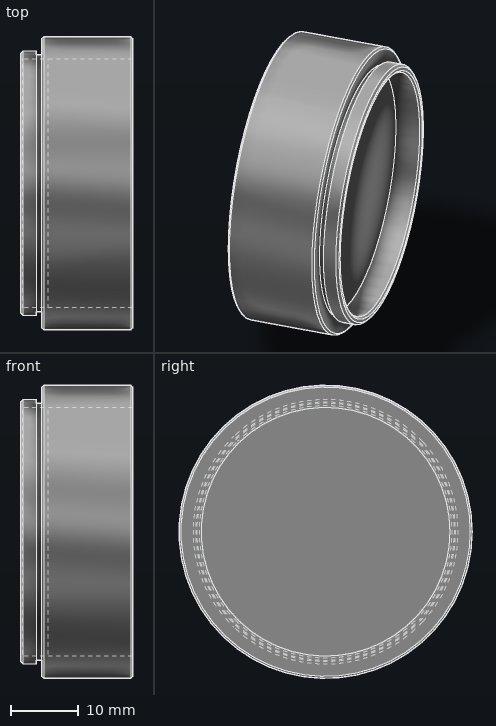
import cadquery as cq

total_length = 16.51
body_diameter = 43.18

thread_diameter = 39.0
thread_length = 2.3
relief_diameter = 37.9
shoulder_x = 3.1

bore_diameter = 36.6
lens_recess = 4.0

body_chamfer = 0.3
thread_chamfer = 0.38
bore_chamfer = 0.3


def cylinder(diameter, start_x, end_x):
    """Solid cylinder on the X axis between two X positions."""
    return cq.Workplane("YZ", origin=(start_x, 0, 0)).circle(diameter / 2).extrude(end_x - start_x)


def make_housing():
    """Ring with a thread relief behind the thread and a bore right through."""
    thread = cylinder(thread_diameter, 0, thread_length).faces("<X").edges().chamfer(thread_chamfer)
    relief = cylinder(relief_diameter, thread_length, shoulder_x)
    body = cylinder(body_diameter, shoulder_x, total_length).edges().chamfer(body_chamfer)
    bore = cylinder(bore_diameter, 0, total_length)
    housing = thread.union(relief).union(body).cut(bore)
    smallest_circle = cq.selectors.RadiusNthSelector(0)
    return housing.faces("<X").edges(smallest_circle).chamfer(bore_chamfer)


def make_lens():
    """Flat-faced lens block, set back from the thread end and flush with the +X end."""
    return cylinder(bore_diameter, lens_recess, total_length)


housing = make_housing()
lens = make_lens()

result = cq.Compound.makeCompound([housing.val(), lens.val()])